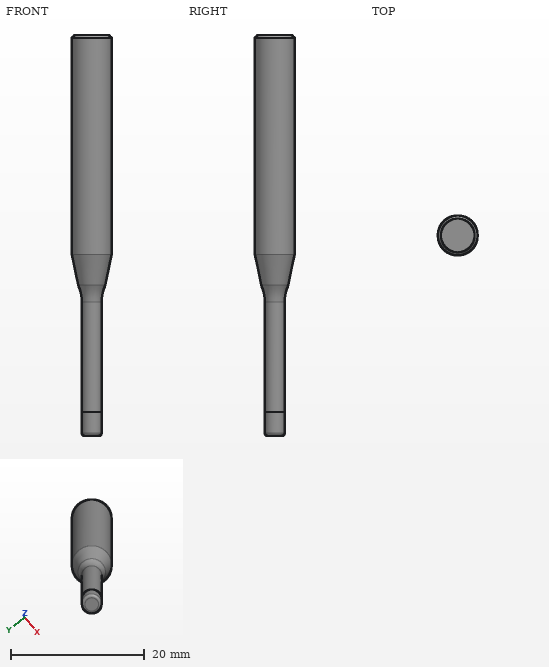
import cadquery as cq
import math

total_length = 60.0
shank_radius = 3.0
shank_chamfer = 0.5

tip_radius = 1.5
tip_length = 3.6
tip_corner_radius = 0.5

neck_radius = 1.5
neck_top = 20.05
flare_top = 22.55
flare_top_radius = 2.05
cone_top = 27.2


def flare_midpoint():
    """Return (r, z) halfway along the flare arc, which leaves the neck tangentially."""
    rise = flare_top - neck_top
    spread = flare_top_radius - neck_radius
    arc_radius = (rise**2 + spread**2) / (2 * spread)
    half_angle = math.asin(rise / arc_radius) / 2
    radius = neck_radius + arc_radius * (1 - math.cos(half_angle))
    height = neck_top + arc_radius * math.sin(half_angle)
    return radius, height


def make_cutting_tip():
    """Solid cylinder with a rounded lower corner."""
    return (
        cq.Workplane("XY")
        .circle(tip_radius)
        .extrude(tip_length)
        .faces("<Z")
        .edges()
        .fillet(tip_corner_radius)
    )


def make_holder():
    """Neck, flare, cone and chamfered shank turned as one piece above the tip."""
    return (
        cq.Workplane("XZ")
        .moveTo(0, tip_length)
        .lineTo(neck_radius, tip_length)
        .lineTo(neck_radius, neck_top)
        .threePointArc(flare_midpoint(), (flare_top_radius, flare_top))
        .lineTo(shank_radius, cone_top)
        .lineTo(shank_radius, total_length - shank_chamfer)
        .lineTo(shank_radius - shank_chamfer, total_length)
        .lineTo(0, total_length)
        .close()
        .revolve(360, (0, 0, 0), (0, 1, 0))
    )


cutting_tip = make_cutting_tip()
holder = make_holder()

result = cq.Compound.makeCompound([cutting_tip.val(), holder.val()])